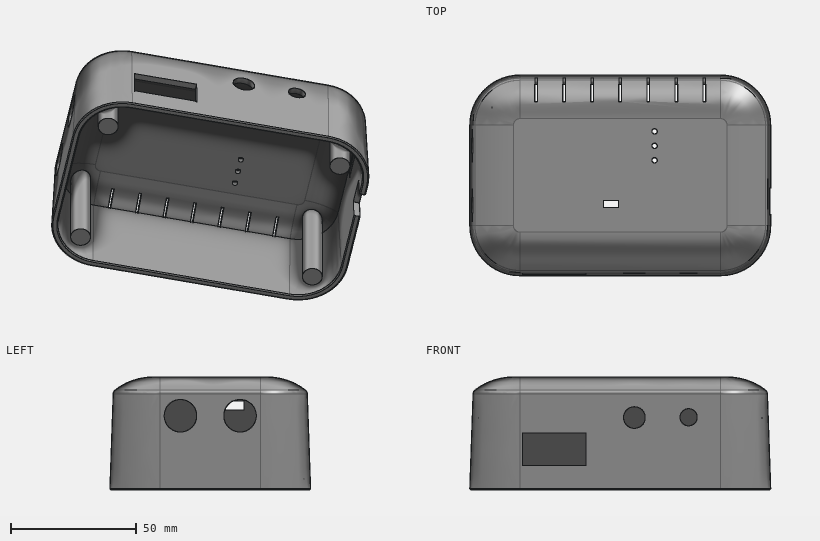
import cadquery as cq
import math

length = 120.0
width = 80.0
height = 45.0
wall = 2.5
corner_radius = 20.0
flat_corner_radius = 2.6
dome_radius = 25.0
rim_fillet = 2.0
foot_chamfer = 0.5
draft_angle = 2.0

core_x = length / 2 - corner_radius
core_y = width / 2 - corner_radius
dome_center_z = height - dome_radius
draft = math.radians(draft_angle)

post_diameter = 7.9
post_offset = 7.2

front_holes = [(5.6, 28.8, 8.6), (27.2, 28.9, 6.8)]

front_port_length = 25.3
front_port_height = 12.8
front_port_x = -26.3
front_port_z = 16.2

cable_hole_diameter = 13.0
cable_hole_y = 11.9
cable_hole_z = 29.5

side_port_width = 12.0
side_port_height = 3.5
side_port_y = -7.4
side_port_z = 33.6

notch_width = 10.5
notch_height = 9.6
notch_y = -10.3

led_count = 3
led_diameter = 2.0
led_pitch = 5.8
led_x = 13.7
led_row_y = 11.8
window_length = 5.9
window_width = 2.8
window_x = -3.7
window_y = -11.4

vent_count = 7
vent_pitch = 11.2
vent_width = 1.0
vent_floor_z = 37.9
vent_front_y = 29.4


def base_radius(inset):
    """Corner radius at the foot; the full outer size is reached just above the foot chamfer."""
    return corner_radius + foot_chamfer * math.tan(draft) - inset / math.cos(draft)


def rim_point(inset):
    """Radius and height where the leaning wall line meets the dome arc."""
    slope = math.tan(draft)
    offset = base_radius(inset) - flat_corner_radius
    arc_radius = dome_radius - inset
    a = 1 + slope ** 2
    b = slope * offset + dome_center_z
    c = offset ** 2 + dome_center_z ** 2 - arc_radius ** 2
    rim_z = (b + math.sqrt(b ** 2 - a * c)) / a
    return base_radius(inset) - slope * rim_z, rim_z


def half_profile(inset):
    """Radius-height section about a corner axis, moved inward by the given inset."""
    top_z = height - inset
    arc_radius = dome_radius - inset
    rim_radius, rim_z = rim_point(inset)
    rim_angle = math.atan2(rim_z - dome_center_z, rim_radius - flat_corner_radius)
    mid_angle = (rim_angle + math.pi / 2) / 2
    arc_middle = (
        flat_corner_radius + arc_radius * math.cos(mid_angle),
        dome_center_z + arc_radius * math.sin(mid_angle),
    )
    return (
        cq.Workplane("XZ")
        .lineTo(base_radius(inset), 0)
        .lineTo(rim_radius, rim_z)
        .threePointArc(arc_middle, (flat_corner_radius, top_z))
        .lineTo(0, top_z)
        .close()
    )


def turned(body, angle):
    """Body rotated about the Z axis."""
    return body.rotate((0, 0, 0), (0, 0, 1), angle)


def domed_block(inset):
    """Solid block with rounded corners, leaning walls and a domed top edge."""
    corner = half_profile(inset).revolve(360, (0, 0), (0, 1))
    edge_x = half_profile(inset).extrude(core_y, both=True)
    edge_y = turned(half_profile(inset).extrude(core_x, both=True), 90)
    block = cq.Workplane("XY").box(2 * core_x, 2 * core_y, height - inset, centered=(True, True, False))
    for side, angle in ((1, 0), (-1, 180)):
        block = block.union(turned(edge_x.translate((core_x, 0, 0)), angle))
        block = block.union(turned(edge_y.translate((0, core_y, 0)), angle))
        for end in (-1, 1):
            block = block.union(corner.translate((side * core_x, end * core_y, 0)))
    return block.clean()


def shell():
    """Open-bottomed cover of even wall thickness with a softened rim and foot."""
    rim_z = rim_point(0)[1]
    rim_band = cq.selectors.BoxSelector(
        (-length, -width, rim_z - rim_fillet), (length, width, rim_z + rim_fillet)
    )
    outer = domed_block(0).edges(rim_band).fillet(rim_fillet)
    return outer.cut(domed_block(wall)).faces("<Z").edges().chamfer(foot_chamfer)


def posts():
    """Four round posts reaching from the open bottom up into the dome."""
    spacing_x = 2 * (core_x + post_offset)
    spacing_y = 2 * (core_y + post_offset)
    columns = (
        cq.Workplane("XY")
        .rarray(spacing_x, spacing_y, 2, 2)
        .circle(post_diameter / 2)
        .extrude(height)
    )
    return columns.intersect(domed_block(wall / 2))


def front_openings():
    """Rectangular port and round holes through the -Y wall."""
    depth = width / 2
    cutter = cq.Workplane("XY").box(front_port_length, depth, front_port_height)
    cutter = cutter.translate((front_port_x, -depth, front_port_z))
    for x, z, diameter in front_holes:
        hole = cq.Workplane("XZ", origin=(x, -depth / 2, z)).circle(diameter / 2).extrude(depth)
        cutter = cutter.union(hole)
    return cutter


def cable_holes():
    """Pair of round holes through the -X wall."""
    return (
        cq.Workplane("YZ", origin=(-length / 4, 0, cable_hole_z))
        .pushPoints([(-cable_hole_y, 0), (cable_hole_y, 0)])
        .circle(cable_hole_diameter / 2)
        .extrude(-length / 2)
    )


def side_openings():
    """Rectangular port through the +X wall and a notch open at its foot."""
    depth = length / 4
    port = cq.Workplane("XY").box(depth, side_port_width, side_port_height)
    port = port.translate((length / 2, side_port_y, side_port_z))
    notch = cq.Workplane("XY").box(depth, notch_width, 2 * notch_height)
    return port.union(notch.translate((length / 2, notch_y, 0)))


def top_openings():
    """Row of indicator holes and a small window through the flat top."""
    leds = (
        cq.Workplane("XY", origin=(led_x, led_row_y, height / 2))
        .rarray(1.2, led_pitch, 1, led_count)
        .circle(led_diameter / 2)
        .extrude(height)
    )
    window = (
        cq.Workplane("XY", origin=(window_x, window_y, height / 2))
        .rect(window_length, window_width)
        .extrude(height)
    )
    return leds.union(window)


def vents():
    """Row of narrow slots, open toward +Y, cut down through the dome edge."""
    depth = width / 2 - vent_front_y
    return (
        cq.Workplane("XY", origin=(0, vent_front_y + depth / 2, vent_floor_z))
        .rarray(vent_pitch, 1.2, vent_count, 1)
        .rect(vent_width, depth)
        .extrude(height - vent_floor_z)
    )


result = (
    shell()
    .union(posts())
    .cut(front_openings())
    .cut(cable_holes())
    .cut(side_openings())
    .cut(top_openings())
    .cut(vents())
)